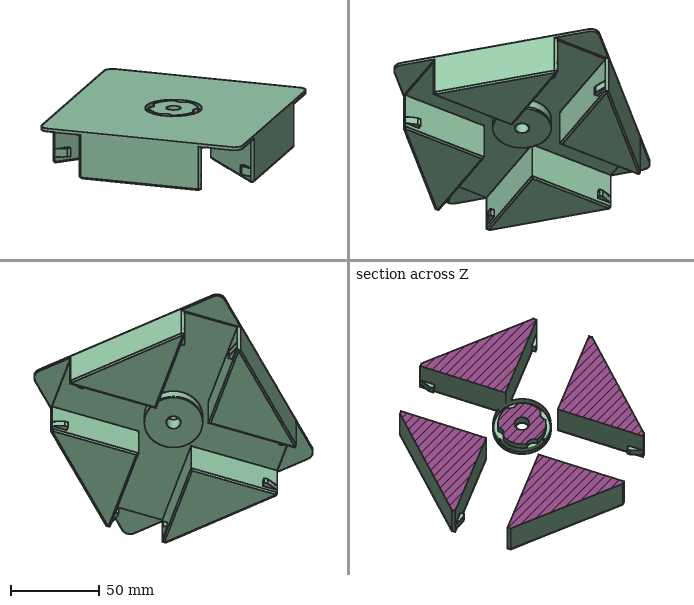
import cadquery as cq
import math

side = 120.0
plate_thickness = 1.9
plate_corner_radius = 5.0

height = 28.0
flat_length = 70.0
bottom_chamfer = 1.0

frame_width = 2.0
channel_ceiling = 3.0
corner_cut = (side - flat_length) / 2
mouth_distance = (side - corner_cut) / math.sqrt(2)
channel_width = corner_cut * math.sqrt(2) - 2 * frame_width

hook_ramp_length = 6.7
hook_tip_length = 2.0
hook_depth = 2.4
hook_height = 4.9
hook_top = -19.5

hole_diameter = 8.0
groove_diameter = 32.0
groove_depth = 8.0
island_diameter = 27.4
bay_diameter = 8.4
bay_count = 4

hub_diameter = 33.0
hub_floor = 2.0
hub_depth = groove_depth + hub_floor

corner_angles = (45, 135, 225, 315)


def make_plate():
    plate = cq.Workplane("XY").rect(side, side).extrude(-plate_thickness)
    return plate.edges("|Z").fillet(plate_corner_radius)


def make_body():
    body = (
        cq.Workplane("XY", origin=(0, 0, -height))
        .rect(side, side)
        .extrude(height - plate_thickness)
        .edges("|Z")
        .chamfer(corner_cut)
    )
    for angle in corner_angles[:2]:
        channel = (
            cq.Workplane("XY", origin=(0, 0, -height))
            .rect(2 * side, channel_width)
            .extrude(height - channel_ceiling)
            .rotate((0, 0, 0), (0, 0, 1), angle)
        )
        body = body.cut(channel)
    return body.faces("<Z").edges().chamfer(bottom_chamfer)


def make_hook_pair():
    """Two facing hooks at the mouth of a channel that runs along +X."""
    wall = channel_width / 2
    tip = wall - hook_depth
    ramp_end = mouth_distance - hook_ramp_length
    hook_back = ramp_end - hook_tip_length
    hook = (
        cq.Workplane("XY", origin=(0, 0, hook_top))
        .polyline([(mouth_distance, wall), (ramp_end, tip), (hook_back, tip), (hook_back, wall)])
        .close()
        .extrude(-hook_height)
    )
    return hook.union(hook.mirror("XZ"))


def make_groove():
    island = cq.Workplane("XY").circle(island_diameter / 2).extrude(-groove_depth)
    bays = (
        cq.Workplane("XY")
        .polarArray(groove_diameter / 2, 0, 360, bay_count)
        .circle(bay_diameter / 2)
        .extrude(-groove_depth)
    )
    disc = cq.Workplane("XY").circle(groove_diameter / 2).extrude(-groove_depth)
    return disc.cut(island.cut(bays))


hub = cq.Workplane("XY").circle(hub_diameter / 2).extrude(-hub_depth)
result = make_plate().union(make_body()).union(hub)
for angle in corner_angles:
    result = result.union(make_hook_pair().rotate((0, 0, 0), (0, 0, 1), angle))

centre_hole = cq.Workplane("XY").circle(hole_diameter / 2).extrude(-height)
result = result.cut(make_groove()).cut(centre_hole)